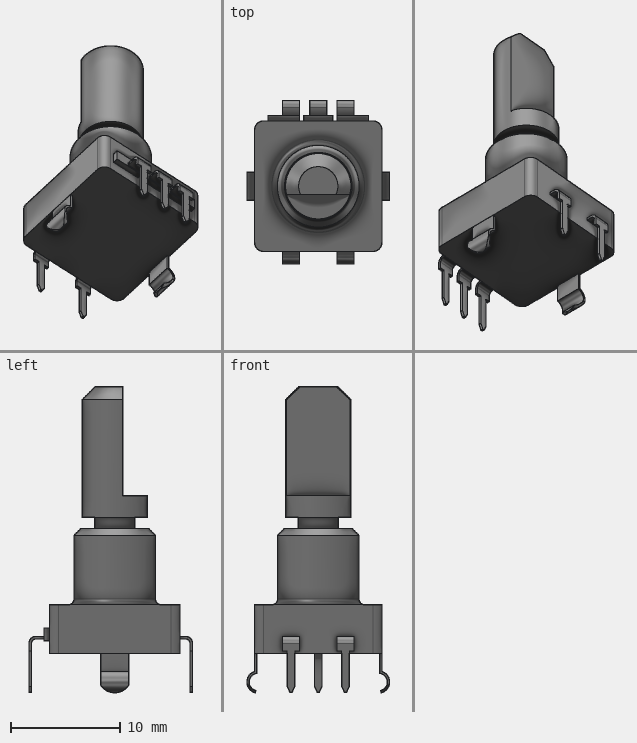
import cadquery as cq
import math


sin_45 = math.sqrt(0.5)

housing_width = 11.7
housing_depth = 12.0
housing_height = 4.5
housing_corner_radius = 0.85
bushing_radius = 3.75
bushing_height = 7.0
bushing_chamfer = 0.65
bushing_root_fillet = 0.5
bushing_top = housing_height + bushing_height

shaft_radius = 3.0
shaft_tip_above_housing = 20.0
shaft_tip_chamfer = 1.2
neck_radius = 1.85
neck_height = 1.0
collar_height = 2.0
flat_offset = 0.75
shaft_bottom = bushing_top + neck_height
shaft_tip = housing_height + shaft_tip_above_housing

terminal_pitch = 2.5
terminal_thickness = 0.25
terminal_arm_top = 1.6
terminal_bend_radius = 0.66
terminal_head_width = 1.6
terminal_head_bottom = 0.25
terminal_leg_width = 0.7
terminal_tip_width = 0.2
terminal_tip_length = 0.55
terminal_bottom = -3.55
front_terminal_reach = 1.15
rear_terminal_reach = 1.88

pad_depth = 0.5
pad_bottom = 1.18
pad_top = 2.38
outer_pad_width = 2.92
middle_pad_width = 2.66

clip_width = 2.6
clip_thickness = 0.22
clip_bulge = 0.7
clip_straight_length = 1.63
clip_hook_radius = 1.02
clip_hook_end_angle = 76.0
clip_tip_height = 0.73


def make_terminal(reach):
    """Terminal centred on X = 0 that leaves a wall at Y = 0 towards -Y and bends down."""
    inner_radius = terminal_bend_radius - terminal_thickness
    bend_y = terminal_bend_radius - reach
    bend_z = terminal_arm_top - terminal_bend_radius
    strip = (
        cq.Workplane("YZ")
        .moveTo(0, terminal_arm_top)
        .lineTo(bend_y, terminal_arm_top)
        .threePointArc(
            (bend_y - terminal_bend_radius * sin_45, bend_z + terminal_bend_radius * sin_45),
            (-reach, bend_z),
        )
        .lineTo(-reach, terminal_bottom)
        .lineTo(terminal_thickness - reach, terminal_bottom)
        .lineTo(terminal_thickness - reach, bend_z)
        .threePointArc(
            (bend_y - inner_radius * sin_45, bend_z + inner_radius * sin_45),
            (bend_y, bend_z + inner_radius),
        )
        .lineTo(0, bend_z + inner_radius)
        .close()
        .extrude(terminal_head_width / 2, both=True)
    )
    half_head = terminal_head_width / 2
    half_leg = terminal_leg_width / 2
    half_tip = terminal_tip_width / 2
    tip_shoulder = terminal_bottom + terminal_tip_length
    face = (
        cq.Workplane("XZ")
        .polyline([
            (-half_head, terminal_arm_top),
            (half_head, terminal_arm_top),
            (half_head, terminal_head_bottom),
            (half_leg, terminal_head_bottom),
            (half_leg, tip_shoulder),
            (half_tip, terminal_bottom),
            (-half_tip, terminal_bottom),
            (-half_leg, tip_shoulder),
            (-half_leg, terminal_head_bottom),
            (-half_head, terminal_head_bottom),
        ])
        .close()
        .extrude(reach)
    )
    return strip.intersect(face)


def make_pad(x_min, width):
    """Carrier pad on the rear face, starting at x_min."""
    return cq.Workplane("XY").box(width, pad_depth, pad_top - pad_bottom, centered=False).translate(
        (x_min, housing_depth / 2, pad_bottom)
    )


def make_bushing():
    """Bushing barrel with a chamfered rim and a concave flare at its root."""
    flare_radius = bushing_radius + bushing_root_fillet
    flare_top = housing_height + bushing_root_fillet
    arc_drop = bushing_root_fillet * (1 - sin_45)
    return (
        cq.Workplane("XZ")
        .moveTo(0, housing_height)
        .lineTo(flare_radius, housing_height)
        .threePointArc((bushing_radius + arc_drop, housing_height + arc_drop), (bushing_radius, flare_top))
        .lineTo(bushing_radius, bushing_top - bushing_chamfer)
        .lineTo(bushing_radius - bushing_chamfer, bushing_top)
        .lineTo(0, bushing_top)
        .close()
        .revolve(360, (0, 0, 0), (0, 1, 0))
    )


def make_housing():
    """Block, bushing, rear pads and the five moulded-in terminals."""
    body = (
        cq.Workplane("XY")
        .rect(housing_width, housing_depth)
        .extrude(housing_height)
        .edges("|Z")
        .fillet(housing_corner_radius)
        .union(make_bushing())
    )

    outer_pad_inner_edge = terminal_pitch - terminal_head_width / 2
    pads = [
        (-outer_pad_inner_edge - outer_pad_width, outer_pad_width),
        (-middle_pad_width / 2, middle_pad_width),
        (outer_pad_inner_edge, outer_pad_width),
    ]
    for x_min, width in pads:
        body = body.union(make_pad(x_min, width))

    front_terminal = make_terminal(front_terminal_reach).translate((0, -housing_depth / 2, 0))
    for side in (-1, 1):
        body = body.union(front_terminal.translate((side * terminal_pitch, 0, 0)))

    rear_terminal = (
        make_terminal(rear_terminal_reach)
        .rotate((0, 0, 0), (0, 0, 1), 180)
        .translate((0, housing_depth / 2, 0))
    )
    for place in (-1, 0, 1):
        body = body.union(rear_terminal.translate((place * terminal_pitch, 0, 0)))
    return body


def make_shaft():
    """Shaft on a narrower neck, flattened on -Y above a full round collar."""
    neck = cq.Workplane("XY").workplane(offset=bushing_top).circle(neck_radius).extrude(neck_height)
    rod = (
        cq.Workplane("XY")
        .workplane(offset=shaft_bottom)
        .circle(shaft_radius)
        .extrude(shaft_tip - shaft_bottom)
        .faces(">Z")
        .chamfer(shaft_tip_chamfer)
    )
    flat_bottom = shaft_bottom + collar_height
    flat_cut = cq.Workplane("XY").box(
        2 * shaft_radius, shaft_radius, shaft_tip - flat_bottom, centered=(True, False, False)
    ).translate((0, -flat_offset - shaft_radius, flat_bottom))
    return rod.cut(flat_cut).union(neck)


def make_clip():
    """Clip under the +X face: a straight tab that curls outwards into a hook with a rounded end."""
    outer_x = housing_width / 2
    inner_x = outer_x - clip_thickness
    hook_x = outer_x + clip_bulge - clip_hook_radius
    inner_radius = clip_hook_radius - clip_thickness
    start_angle = math.acos((outer_x - hook_x) / clip_hook_radius)
    hook_z = -clip_straight_length - clip_hook_radius * math.sin(start_angle)
    end_angle = -math.radians(clip_hook_end_angle)
    inner_start_angle = math.acos((inner_x - hook_x) / inner_radius)

    def hook_point(radius, angle):
        return (hook_x + radius * math.cos(angle), hook_z + radius * math.sin(angle))

    strip = (
        cq.Workplane("XZ")
        .moveTo(inner_x, 0)
        .lineTo(outer_x, 0)
        .lineTo(*hook_point(clip_hook_radius, start_angle))
        .threePointArc(hook_point(clip_hook_radius, 0), hook_point(clip_hook_radius, end_angle))
        .lineTo(*hook_point(inner_radius, end_angle))
        .threePointArc(hook_point(inner_radius, 0), hook_point(inner_radius, inner_start_angle))
        .close()
        .extrude(clip_width / 2, both=True)
    )
    hook_bottom = hook_point(clip_hook_radius, end_angle)[1]
    tip_shoulder = hook_bottom + clip_tip_height
    outline = (
        cq.Workplane("YZ")
        .moveTo(-clip_width / 2, 0)
        .lineTo(-clip_width / 2, tip_shoulder)
        .threePointArc((0, hook_bottom), (clip_width / 2, tip_shoulder))
        .lineTo(clip_width / 2, 0)
        .close()
        .extrude(housing_width)
    )
    return strip.intersect(outline)


housing = make_housing()
shaft = make_shaft()
clips = [make_clip().rotate((0, 0, 0), (0, 0, 1), angle) for angle in (0, 180)]

result = cq.Compound.makeCompound([housing.val(), shaft.val(), *[clip.val() for clip in clips]])